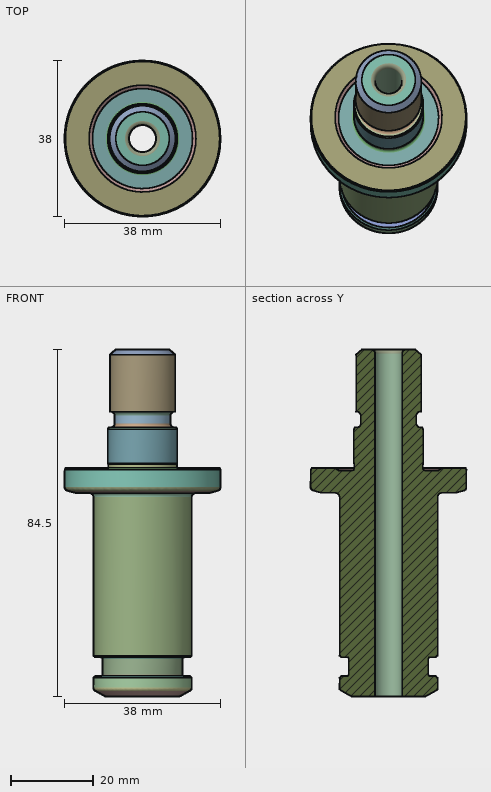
import cadquery as cq

total_height = 84.5

bore_radius = 6.5 / 2
bore_mouth_fillet = 1.0

body_radius = 24.0 / 2
end_face_radius = 8.95
end_cone_height = 1.7
end_cone_fillet = 0.85
collar_top = 5.1
edge_chamfer = 0.5

groove_radius = 19.5 / 2
groove_top = 9.55
groove_top_chamfer_height = 0.4
groove_root_fillet = 0.3

flange_radius = 38.0 / 2
flange_bottom = 49.5
flange_top = 55.7
underside_flat_radius = 16.2
underside_cone_height = 0.8
flange_lower_fillet = 1.0
shallow_chamfer_width = 0.25
shoulder_fillet = 0.9

recess_top_radius = 13.0
recess_floor_radius = 12.2
recess_floor = flange_top - 0.6

lower_stem_radius = 17.0 / 2
lower_stem_top = 65.6
relief_top = 56.8
relief_taper_height = 0.25
relief_radius = 16.8 / 2
relief_fillet = 0.5

neck_radius = 13.7 / 2
neck_fillet = 0.85
upper_stem_radius = 16.0 / 2
upper_stem_bottom = 69.3
top_face_radius = 6.5
top_chamfer_height = 1.3

profile = (
    cq.Workplane("XZ")
    .moveTo(bore_radius, 0)
    .lineTo(end_face_radius, 0)
    .lineTo(body_radius, end_cone_height)
    .lineTo(body_radius, collar_top - edge_chamfer)
    .lineTo(body_radius - edge_chamfer, collar_top)
    .lineTo(groove_radius, collar_top)
    .lineTo(groove_radius, groove_top)
    .lineTo(body_radius - edge_chamfer, groove_top)
    .lineTo(body_radius, groove_top + groove_top_chamfer_height)
    .lineTo(body_radius, flange_bottom)
    .lineTo(underside_flat_radius, flange_bottom)
    .lineTo(flange_radius, flange_bottom + underside_cone_height)
    .lineTo(flange_radius, flange_top - edge_chamfer)
    .lineTo(flange_radius - shallow_chamfer_width, flange_top)
    .lineTo(recess_top_radius, flange_top)
    .lineTo(recess_floor_radius, recess_floor)
    .lineTo(relief_radius, recess_floor)
    .lineTo(relief_radius, relief_top - relief_taper_height)
    .lineTo(lower_stem_radius, relief_top)
    .lineTo(lower_stem_radius, lower_stem_top - edge_chamfer)
    .lineTo(lower_stem_radius - shallow_chamfer_width, lower_stem_top)
    .lineTo(neck_radius, lower_stem_top)
    .lineTo(neck_radius, upper_stem_bottom)
    .lineTo(upper_stem_radius, upper_stem_bottom)
    .lineTo(upper_stem_radius, total_height - top_chamfer_height)
    .lineTo(top_face_radius, total_height)
    .lineTo(bore_radius, total_height)
    .close()
)
turned_part = profile.revolve(360, (0, 0, 0), (0, 1, 0))


def round_edge(part, edge_radius, height, fillet_radius):
    """Fillet the circular edge with the given radius and height."""
    tolerance = 0.01

    def is_wanted(edge):
        return (
            edge.geomType() == "CIRCLE"
            and abs(edge.radius() - edge_radius) < tolerance
            and abs(edge.Center().z - height) < tolerance
        )

    return part.edges().filter(is_wanted).fillet(fillet_radius)


rounded_edges = [
    (body_radius, end_cone_height, end_cone_fillet),
    (groove_radius, collar_top, groove_root_fillet),
    (groove_radius, groove_top, groove_root_fillet),
    (body_radius, flange_bottom, shoulder_fillet),
    (flange_radius, flange_bottom + underside_cone_height, flange_lower_fillet),
    (relief_radius, recess_floor, relief_fillet),
    (neck_radius, lower_stem_top, neck_fillet),
    (neck_radius, upper_stem_bottom, neck_fillet),
    (bore_radius, total_height, bore_mouth_fillet),
]

result = turned_part
for edge_radius, height, fillet_radius in rounded_edges:
    result = round_edge(result, edge_radius, height, fillet_radius)